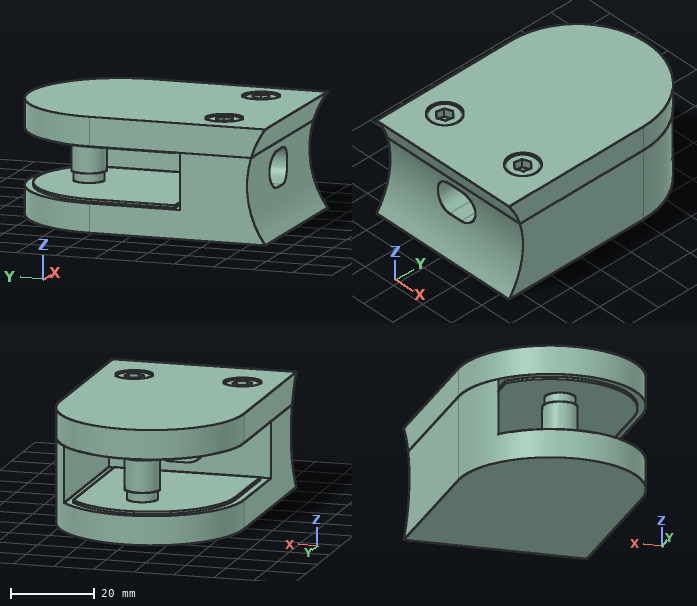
import cadquery as cq
import math

length = 67.65
width = 46.0
height = 28.5
plate_thickness = 7.25

mouth_start = 21.65
wall_end = 59.5

saddle_radius = 24.15
slot_width = 13.05
slot_height = 9.05

gasket_thickness = 0.6
gasket_inset = 2.0

pin_y = 52.6
pin_diameter = 7.5
collar_diameter = 8.5
collar_length = 8.0

screw_spacing = 27.05
screw_y = 13.65
screw_diameter = 9.05
screw_edge_radius = 0.6
screw_recess = 0.3
socket_across_flats = 4.05
socket_depth = 2.45
socket_turn = 20.0

outline_radius = width / 2
arc_center_y = length - outline_radius
mid_z = height / 2
mouth_bottom = plate_thickness
mouth_top = height - plate_thickness
wall_x = math.sqrt(outline_radius**2 - (wall_end - arc_center_y)**2)
screw_points = [(-screw_spacing / 2, screw_y), (screw_spacing / 2, screw_y)]


def rounded_plate(y_start, radius, bottom, top):
    """Flat plate with a straight back edge and a half-round front end."""
    return (
        cq.Workplane("XY", origin=(0, 0, bottom))
        .moveTo(-radius, y_start)
        .lineTo(radius, y_start)
        .lineTo(radius, arc_center_y)
        .threePointArc((0, arc_center_y + radius), (-radius, arc_center_y))
        .close()
        .extrude(top - bottom)
    )


def block(x_start, x_end, y_start, y_end, bottom, top):
    """Box between the given limits."""
    return cq.Workplane("XY").box(
        x_end - x_start, y_end - y_start, top - bottom, centered=False
    ).translate((x_start, y_start, bottom))


def make_saddle_cutter():
    """Tube-shaped cutter along X whose surface passes through the back top and bottom edges."""
    axis_y = -math.sqrt(saddle_radius**2 - mid_z**2)
    return (
        cq.Workplane("YZ", origin=(-width / 2, 0, 0))
        .center(axis_y, mid_z)
        .circle(saddle_radius)
        .extrude(width)
    )


def make_base():
    """Lower plate with the back block and the side wall, below the cover."""
    base = rounded_plate(0, outline_radius, 0, mouth_top)
    mouth = block(-outline_radius, wall_x, mouth_start, length, mouth_bottom, mouth_top)
    mounting_slot = (
        cq.Workplane("XZ", origin=(0, 0, mid_z))
        .slot2D(slot_width, slot_height)
        .extrude(-mouth_start)
    )
    return base.cut(mouth).cut(mounting_slot).cut(make_saddle_cutter())


def make_cover():
    """Upper plate with a close-fitting hole for each screw."""
    screw_holes = (
        cq.Workplane("XY", origin=(0, 0, mouth_top))
        .pushPoints(screw_points)
        .circle(screw_diameter / 2)
        .extrude(plate_thickness)
    )
    cover = rounded_plate(0, outline_radius, mouth_top, height)
    return cover.cut(screw_holes).cut(make_saddle_cutter())


def make_gasket(bottom):
    """Thin pad set in by the same margin from the outline, the back block and the side wall."""
    top = bottom + gasket_thickness
    y_start = mouth_start + gasket_inset
    pad = rounded_plate(y_start, outline_radius - gasket_inset, bottom, top)
    wall_margin = block(wall_x - gasket_inset, outline_radius, y_start, length, bottom, top)
    return pad.cut(wall_margin)


def make_pin():
    """Stop pin with a wider middle collar, standing between the gaskets."""
    pin_bottom = mouth_bottom + gasket_thickness
    pin_length = mouth_top - mouth_bottom - 2 * gasket_thickness
    shaft = cq.Workplane("XY", origin=(0, pin_y, pin_bottom)).circle(pin_diameter / 2).extrude(pin_length)
    collar = (
        cq.Workplane("XY", origin=(0, pin_y, mid_z - collar_length / 2))
        .circle(collar_diameter / 2)
        .extrude(collar_length)
    )
    return shaft.union(collar)


def make_screw(x, y):
    """Cylindrical screw just below the cover's top face, with a rounded rim and a hexagon socket."""
    screw_length = plate_thickness - screw_recess
    screw = (
        cq.Workplane("XY")
        .circle(screw_diameter / 2)
        .extrude(screw_length)
        .faces(">Z")
        .edges()
        .fillet(screw_edge_radius)
    )
    across_corners = socket_across_flats / math.cos(math.pi / 6)
    socket = (
        cq.Workplane("XY", origin=(0, 0, screw_length - socket_depth))
        .polygon(6, across_corners)
        .extrude(socket_depth)
        .rotate((0, 0, 0), (0, 0, 1), socket_turn)
    )
    return screw.cut(socket).translate((x, y, mouth_top))


base = make_base()
cover = make_cover()
pin = make_pin()
gaskets = [make_gasket(bottom) for bottom in (mouth_bottom, mouth_top - gasket_thickness)]
screws = [make_screw(x, y) for x, y in screw_points]

bodies = [base, cover, pin, *gaskets, *screws]
result = cq.Compound.makeCompound([body.solids().val() for body in bodies])